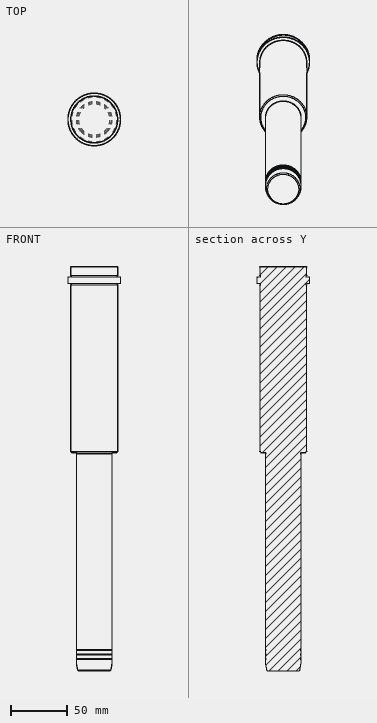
import cadquery as cq

total_height = 360.0
sleeve_diameter = 42.0
collar_diameter = 47.0
rod_diameter = 32.0

sleeve_length = 165.5
collar_depth = 9.0
collar_height = 6.0
top_chamfer = 0.5
sleeve_chamfer = 1.0
collar_chamfer = 0.5

relief_width = 1.0
relief_depth = 0.5

groove_count = 3
first_groove_height = 10.5
groove_pitch = 4.0
groove_width = 1.0
groove_depth = 0.5

taper_length = 7.2
taper_end_diameter = 30.0
tip_chamfer = 1.0


def disc(diameter, bottom, height):
    """Solid cylinder on the Z axis."""
    return cq.Workplane("XY").workplane(offset=bottom).circle(diameter / 2).extrude(height)


def groove_ring(diameter, depth, bottom, width):
    """Ring that cuts a groove of the given depth into a cylinder."""
    return disc(diameter, bottom, width).cut(disc(diameter - 2 * depth, bottom, width))


def make_rod():
    """Rod with a tapered, chamfered tip, ring grooves and a relief groove at its upper end."""
    tip_radius = taper_end_diameter / 2
    profile = (
        cq.Workplane("XZ")
        .moveTo(0, 0)
        .lineTo(tip_radius - tip_chamfer, 0)
        .lineTo(tip_radius, tip_chamfer)
        .lineTo(rod_diameter / 2, taper_length)
        .lineTo(rod_diameter / 2, total_height - sleeve_length)
        .lineTo(0, total_height - sleeve_length)
        .close()
    )
    rod = profile.revolve(360, (0, 0, 0), (0, 1, 0))
    for index in range(groove_count):
        bottom = first_groove_height + index * groove_pitch
        rod = rod.cut(groove_ring(rod_diameter, groove_depth, bottom, groove_width))
    relief_bottom = total_height - sleeve_length - relief_width
    return rod.cut(groove_ring(rod_diameter, relief_depth, relief_bottom, relief_width))


def make_sleeve():
    """Chamfered sleeve carrying the chamfered collar between two relief grooves."""
    collar_top = total_height - collar_depth
    collar_bottom = collar_top - collar_height
    sleeve = disc(sleeve_diameter, total_height - sleeve_length, sleeve_length)
    sleeve = sleeve.faces(">Z").chamfer(top_chamfer).faces("<Z").chamfer(sleeve_chamfer)
    for bottom in (collar_top, collar_bottom - relief_width):
        sleeve = sleeve.cut(groove_ring(sleeve_diameter, relief_depth, bottom, relief_width))
    collar = disc(collar_diameter, collar_bottom, collar_height)
    return sleeve.union(collar.faces("<Z or >Z").chamfer(collar_chamfer))


result = make_sleeve().union(make_rod())